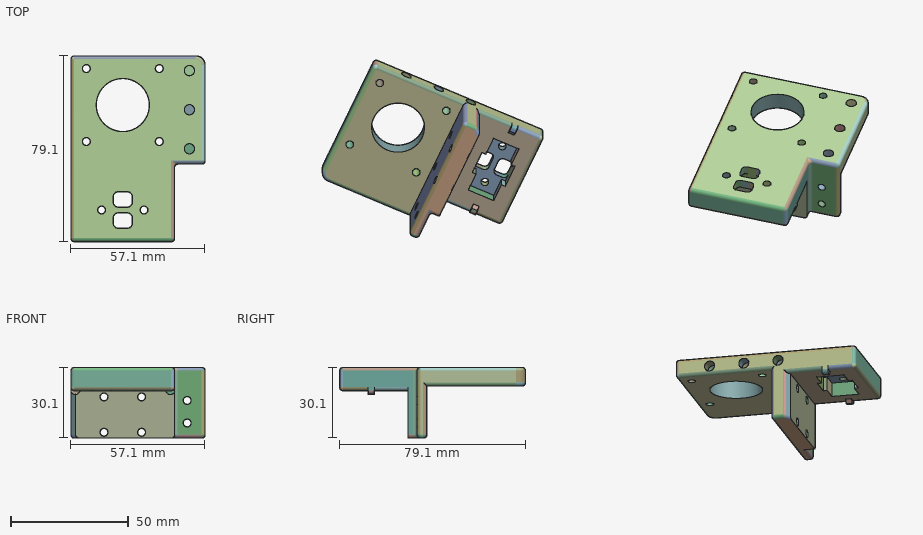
import cadquery as cq

length = 79.1
width = 57.1
height = 30.1
nose_width = 44.1
nose_thickness = 10.0
rear_thickness = 8.0

wall_back = 37.2
wall_front = 29.1
step_front = 33.0
wall_chamfer = 2.0

edge_radius = 1.5
valley_radius = 1.35
corner_radius = 4.0

screw_diameter = 3.25
center_x = 22.1
motor_y = 58.1
bore_diameter = 22.5
motor_spacing = 31.0
sensor_y = 13.5
sensor_spacing = 18.0
window_width = 8.0
window_length = 6.4
window_spacing = 8.9
window_radius = 2.0
window_floor = 3.95
pocket_width = 10.0
flange_width = 26.0
flange_length = 11.9
dowel_diameter = 4.35
dowel_depth = 6.0
dowel_x = 50.4
dowel_middle_y = 56.2
dowel_spacing = 16.6
side_diameter = 4.35
side_depth = 6.0
side_tip_length = 2.2
side_z = -4.1
side_middle_y = 49.1
side_spacing = 15.0
wall_hole_xs = (14.1, 30.05)
wall_hole_zs = (-12.6, -27.6)
end_hole_x = 49.4
end_hole_zs = (-14.1, -23.65)

foot_height = 1.5
foot_length = 2.7
foot_width = 2.6

tolerance = 0.01


def block(outline, top, bottom):
    return cq.Workplane("XY").workplane(offset=bottom).polyline(outline).close().extrude(top - bottom)


def make_body():
    nose = block([(0, 0), (nose_width, 0), (nose_width, wall_back), (0, wall_back)], 0, -nose_thickness)
    rear = block([(0, step_front), (width, step_front), (width, length), (0, length)], 0, -rear_thickness)
    wall = block(
        [
            (0, wall_front + wall_chamfer),
            (wall_chamfer, wall_front),
            (nose_width, wall_front),
            (nose_width, step_front),
            (width, step_front),
            (width, wall_back),
            (0, wall_back),
        ],
        0,
        -height,
    )
    return nose.union(rear).union(wall).clean()


def is_rounded(edge):
    """The wall front face and the joints below the plate stay sharp; the valley is rounded later."""
    middle = edge.Center()
    on_wall_front = abs(middle.y - wall_front) < tolerance
    joint_on_chamfer = abs(middle.z + nose_thickness) < tolerance and middle.y > wall_front - tolerance
    joint_on_back = abs(middle.z + rear_thickness) < tolerance and abs(middle.y - wall_back) < tolerance
    in_valley = abs(middle.x - nose_width) < tolerance and abs(middle.y - step_front) < tolerance
    return not (in_valley or on_wall_front or joint_on_chamfer or joint_on_back)


def round_edges(body):
    body = body.edges("|Z and >X and >Y").fillet(corner_radius)
    rounded = [edge for edge in body.edges().vals() if is_rounded(edge)]
    body = body.newObject(rounded).fillet(edge_radius)
    valley = cq.NearestToPointSelector((nose_width, step_front, -height / 2))
    return body.edges("|Z").edges(valley).fillet(valley_radius)


def drill_down(points, diameter, depth):
    return cq.Workplane("XY").pushPoints(points).circle(diameter / 2).extrude(-depth)


def motor_holes():
    screws = (
        cq.Workplane("XY")
        .center(center_x, motor_y)
        .rect(motor_spacing, motor_spacing, forConstruction=True)
        .vertices()
        .circle(screw_diameter / 2)
        .extrude(-height)
    )
    return screws.union(drill_down([(center_x, motor_y)], bore_diameter, height))


def sensor_recess(recess_width, recess_length):
    start = cq.Workplane("XY", origin=(center_x, sensor_y, -window_floor))
    return start.rect(recess_width, recess_length).extrude(window_floor - nose_thickness)


def sensor_openings():
    """Two windows and two screw holes above a cross-shaped recess in the underside."""
    screw_points = [(center_x + side * sensor_spacing / 2, sensor_y) for side in (-1, 1)]
    windows = (
        cq.Workplane("XY")
        .center(center_x, sensor_y)
        .rarray(0.8, window_spacing, 1, 2)
        .rect(window_width, window_length)
        .extrude(-height)
        .edges("|Z")
        .fillet(window_radius)
    )
    pocket = sensor_recess(pocket_width, window_spacing + window_length)
    flange = sensor_recess(flange_width, flange_length)
    openings = windows.union(pocket).union(flange)
    return openings.union(drill_down(screw_points, screw_diameter, height))


def dowel_holes():
    points = [(dowel_x, dowel_middle_y + step * dowel_spacing) for step in (-1, 0, 1)]
    return drill_down(points, dowel_diameter, dowel_depth)


def side_holes():
    """Three blind holes in the left side, each ending in a cone."""
    radius = side_diameter / 2
    profile = [(0, 0), (0, radius), (side_depth, radius), (side_depth + side_tip_length, 0)]
    hole = cq.Workplane("XY").polyline(profile).close().revolve(360, (0, 0, 0), (1, 0, 0))
    middle = hole.translate((0, side_middle_y, side_z))
    front = middle.translate((0, -side_spacing, 0))
    back = middle.translate((0, side_spacing, 0))
    return front.union(middle).union(back)


def wall_holes():
    points = [(x, z) for x in wall_hole_xs for z in wall_hole_zs]
    points += [(end_hole_x, z) for z in end_hole_zs]
    start = cq.Workplane("XZ", origin=(0, wall_front, 0))
    return start.pushPoints(points).circle(screw_diameter / 2).extrude(wall_front - wall_back)


def left_foot():
    """Foot flush with the left side: rounded outer corner, 45 degree inner flank."""
    bottom = -nose_thickness - foot_height
    root = edge_radius - nose_thickness
    flank_rise = root - bottom
    start = cq.Workplane("XZ", origin=(0, sensor_y + foot_length / 2, 0))
    return (
        start.moveTo(0, root)
        .lineTo(0, bottom + edge_radius)
        .radiusArc((edge_radius, bottom), -edge_radius)
        .lineTo(foot_width, bottom)
        .lineTo(foot_width + flank_rise, root)
        .close()
        .extrude(foot_length)
    )


foot = left_foot()
feet = foot.union(foot.mirror("YZ", (nose_width / 2, 0, 0)))
result = round_edges(make_body()).union(feet)
for cutter in (motor_holes(), sensor_openings(), dowel_holes(), side_holes(), wall_holes()):
    result = result.cut(cutter)